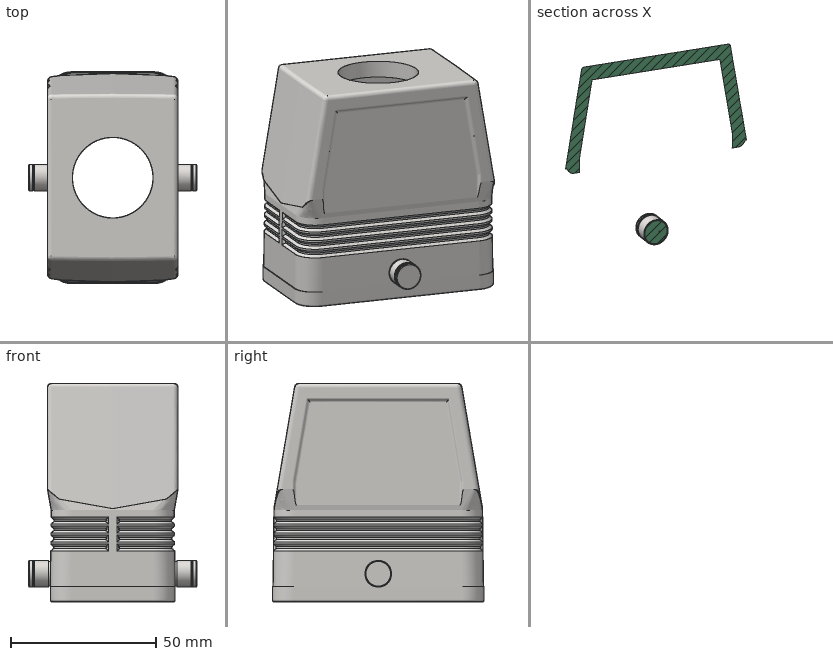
import cadquery as cq
import math


HEIGHT = 75.25
BASE_HALF_X = 21.5
BASE_HALF_Y = 36.5
BASE_TOP = 5.35
BASE_EDGE_RADIUS = 0.7
CORNER_RADIUS = 7.15
BODY_HALF_Y = 36.3
BODY_TOP = 31.5
BODY_DRAFT = 0.3

HOUSING_HALF_X = 22.5
HOUSING_FOOT = 32.1
HOUSING_FOOT_HALF_Y = BODY_HALF_Y - BODY_DRAFT
END_SLOPE = 0.17
END_CROWN = 0.2
HOUSING_EDGE_RADIUS = 1.5
ROOF_EDGE_RADIUS = 1.4
FLARE_TOP = 38.75
FLARE_SETBACK = 0.4
FLARE_KNEE_X = 18.5
FLARE_KNEE_Z = 35.45

PANEL_DEPTH = 1.0
PANEL_TOP = 69.2
PANEL_TOP_HALF_Y = 23.8
PANEL_BEND_Z = 41.4
PANEL_WALL_ANGLE = 30.0
PANEL_FLOOR_RADIUS = 0.9
PANEL_RIM_RADIUS = 0.75
COVER_GROWTH = 6.0

GROOVE_COUNT = 4
GROOVE_PITCH = 3.1
GROOVE_FIRST_Z = 18.7
GROOVE_WIDTH = 2.4
GROOVE_FLOOR = 0.6
GROOVE_DEPTH = 1.0
SPINE_HALF_WIDTH = 1.4

PIN_RADIUS = 4.6
PIN_SPAN = 58.0
PIN_TIP_X = PIN_SPAN / 2
PIN_Z = 9.7
PIN_NECK_RADIUS = 4.3
PIN_CHAMFER = PIN_RADIUS - PIN_NECK_RADIUS
PIN_GROOVE_X = 27.3
PIN_GROOVE_WIDTH = 0.6
PIN_NECK_END_X = 22.05

ENTRY_RADIUS = 13.85
ROOF_THICKNESS = 5.65
CAVITY_HALF_X = 19.2
CAVITY_HALF_Y = 27.5

SELECT_MARGIN = 0.1


def rounded_loft(lower, upper):
    """Ruled solid between two rounded rectangles given as (z, half x, half y, corner radius)."""
    z, half_x, half_y, radius = lower
    top_z, top_half_x, top_half_y, top_radius = upper
    foot = cq.Sketch().rect(2 * half_x, 2 * half_y).vertices().fillet(radius)
    head = cq.Sketch().rect(2 * top_half_x, 2 * top_half_y).vertices().fillet(top_radius)
    head = head.moved(cq.Location(cq.Vector(0, 0, top_z - z)))
    return cq.Workplane("XY", origin=(0, 0, z)).placeSketch(foot, head).loft(ruled=True)


def body_section(z, inset=0.0):
    """Rounded rectangle of the drafted lower body at height z, shrunk by inset."""
    shrink = inset + BODY_DRAFT * (z - BASE_TOP) / (BODY_TOP - BASE_TOP)
    return z, BASE_HALF_X - shrink, BODY_HALF_Y - shrink, CORNER_RADIUS - inset


def end_face_y(z):
    """Half length of the housing at mid-width."""
    return HOUSING_FOOT_HALF_Y - END_SLOPE * (z - HOUSING_FOOT)


def make_base():
    band = (
        cq.Workplane("XY")
        .rect(2 * BASE_HALF_X, 2 * BASE_HALF_Y)
        .extrude(BASE_TOP)
        .edges("|Z")
        .fillet(CORNER_RADIUS)
        .faces("<Z")
        .edges()
        .fillet(BASE_EDGE_RADIUS)
    )
    return band.union(rounded_loft(body_section(BASE_TOP), body_section(BODY_TOP)))


def make_flare():
    corner_y = end_face_y(FLARE_TOP) - FLARE_SETBACK
    housing_section = (FLARE_TOP, HOUSING_HALF_X, corner_y, HOUSING_EDGE_RADIUS)
    return rounded_loft(body_section(BODY_TOP), housing_section)


def crowned_outline(z):
    """Corner points of the housing at height z, its ends slightly peaked at mid-width."""
    peak_y = end_face_y(z)
    corner_y = peak_y - END_CROWN
    half = [(HOUSING_HALF_X, -corner_y), (HOUSING_HALF_X, corner_y), (0, peak_y)]
    return half + [(-x, -y) for x, y in half]


def make_housing():
    housing = (
        cq.Workplane("XY", origin=(0, 0, HOUSING_FOOT))
        .polyline(crowned_outline(HOUSING_FOOT))
        .close()
        .workplane(offset=HEIGHT - HOUSING_FOOT)
        .polyline(crowned_outline(HEIGHT))
        .close()
        .loft(ruled=True)
    )
    for side in (-1, 1):
        x = side * HOUSING_HALF_X
        strip_foot = (x - SELECT_MARGIN, -BASE_HALF_Y, BODY_TOP)
        strip_head = (x + SELECT_MARGIN, BASE_HALF_Y, HEIGHT - SELECT_MARGIN)
        strip = cq.selectors.BoxSelector(strip_foot, strip_head)
        housing = housing.edges(strip).edges("not #Z").fillet(HOUSING_EDGE_RADIUS)
    housing = housing.faces(">Z").edges().fillet(ROOF_EDGE_RADIUS)
    half_profile = [(FLARE_KNEE_X, FLARE_KNEE_Z), (HOUSING_HALF_X, FLARE_TOP), (HOUSING_HALF_X, HEIGHT)]
    mirrored = [(-x, z) for x, z in reversed(half_profile)]
    keep = (
        cq.Workplane("XZ")
        .polyline([(0, HOUSING_FOOT)] + half_profile + mirrored)
        .close()
        .extrude(BASE_HALF_Y, both=True)
    )
    return housing.intersect(keep)


def panel_outline(x, growth):
    """Closed outline of a side panel at x, widened by growth around its top and sides."""
    bend_half_y = PANEL_TOP_HALF_Y + END_SLOPE * (PANEL_TOP - PANEL_BEND_Z)
    half = [
        (bend_half_y + growth, BODY_TOP),
        (bend_half_y + growth, PANEL_BEND_Z),
        (PANEL_TOP_HALF_Y + growth, PANEL_TOP + growth),
    ]
    mirrored = [(-y, z) for y, z in reversed(half)]
    return cq.Workplane("YZ", origin=(x, 0, 0)).polyline(half + mirrored).close()


def make_panel_cutter(side):
    floor_x = HOUSING_HALF_X - PANEL_DEPTH
    wall_run = PANEL_DEPTH * math.tan(math.radians(PANEL_WALL_ANGLE))
    floor = panel_outline(floor_x, 0).wires().val()
    mouth = panel_outline(HOUSING_HALF_X, wall_run).wires().val()
    recess = cq.Workplane(cq.Solid.makeLoft([floor, mouth], True))
    cover = panel_outline(HOUSING_HALF_X, COVER_GROWTH).extrude(PANEL_DEPTH)
    cutter = recess.union(cover)
    cutter = cutter.faces("<X").edges("not <Z").fillet(PANEL_FLOOR_RADIUS)
    bounds = mouth.BoundingBox()
    rim_foot = (bounds.xmin - SELECT_MARGIN, bounds.ymin - SELECT_MARGIN, bounds.zmin + SELECT_MARGIN)
    rim_head = (bounds.xmax + SELECT_MARGIN, bounds.ymax + SELECT_MARGIN, bounds.zmax + SELECT_MARGIN)
    cutter = cutter.edges(cq.selectors.BoxSelector(rim_foot, rim_head)).fillet(PANEL_RIM_RADIUS)
    return cutter if side > 0 else cutter.mirror("YZ")


def make_groove_cutter(z):
    mouth = GROOVE_WIDTH / 2
    floor = GROOVE_FLOOR / 2
    lower = body_section(z - mouth)
    core_foot = body_section(z - floor, GROOVE_DEPTH)
    core_head = body_section(z + floor, GROOVE_DEPTH)
    upper = body_section(z + mouth)
    slab = cq.Workplane("XY", origin=(0, 0, z)).box(3 * BASE_HALF_X, 3 * BASE_HALF_Y, GROOVE_WIDTH)
    for foot, head in ((lower, core_foot), (core_foot, core_head), (core_head, upper)):
        slab = slab.cut(rounded_loft(foot, head))
    return slab.cut(make_spine(z))


def make_spine(z):
    """Bars across both ends, widening inwards, which interrupt a groove at mid-width."""
    face_y = body_section(z)[2]
    floor_y = face_y - GROOVE_DEPTH
    tip_half_width = SPINE_HALF_WIDTH - GROOVE_DEPTH
    outline = [
        (SPINE_HALF_WIDTH + GROOVE_DEPTH, floor_y),
        (tip_half_width, face_y + GROOVE_DEPTH),
        (-tip_half_width, face_y + GROOVE_DEPTH),
        (-SPINE_HALF_WIDTH - GROOVE_DEPTH, floor_y),
    ]
    spine = (
        cq.Workplane("XY", origin=(0, 0, z - GROOVE_WIDTH / 2))
        .polyline(outline)
        .close()
        .extrude(GROOVE_WIDTH)
    )
    return spine.union(spine.mirror("XZ"))


def make_pin():
    half_groove = PIN_GROOVE_WIDTH / 2
    profile = [
        (CAVITY_HALF_X, 0),
        (CAVITY_HALF_X, PIN_NECK_RADIUS),
        (PIN_NECK_END_X, PIN_NECK_RADIUS),
        (PIN_NECK_END_X, PIN_RADIUS),
        (PIN_GROOVE_X - half_groove, PIN_RADIUS),
        (PIN_GROOVE_X, PIN_NECK_RADIUS),
        (PIN_GROOVE_X + half_groove, PIN_RADIUS),
        (PIN_TIP_X - PIN_CHAMFER, PIN_RADIUS),
        (PIN_TIP_X, PIN_NECK_RADIUS),
        (PIN_TIP_X, 0),
    ]
    pin = cq.Workplane("XY", origin=(0, 0, PIN_Z)).polyline(profile).close()
    return pin.revolve(360, (0, 0, 0), (1, 0, 0))


def make_hollow():
    ceiling = HEIGHT - ROOF_THICKNESS
    cavity = cq.Workplane("XY").rect(2 * CAVITY_HALF_X, 2 * CAVITY_HALF_Y).extrude(ceiling)
    return cavity.union(cq.Workplane("XY").circle(ENTRY_RADIUS).extrude(HEIGHT))


hood = make_base().union(make_flare()).union(make_housing())
for panel_side in (-1, 1):
    hood = hood.cut(make_panel_cutter(panel_side))
for index in range(GROOVE_COUNT):
    hood = hood.cut(make_groove_cutter(GROOVE_FIRST_Z + index * GROOVE_PITCH))
hood = hood.cut(make_hollow())
latch_pin = make_pin()
result = hood.union(latch_pin).union(latch_pin.mirror("YZ"))